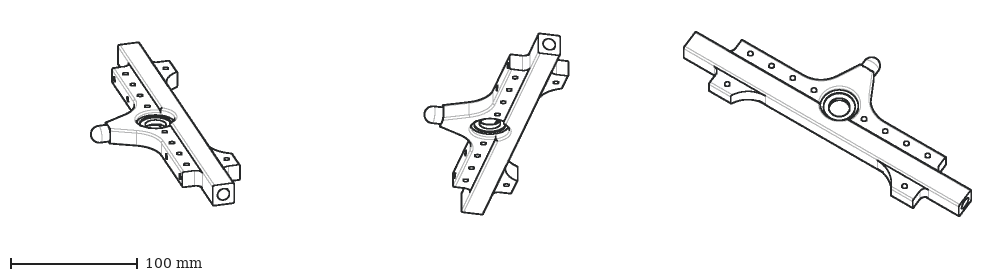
import cadquery as cq
import math

bar_length = 260.0
bar_size = 18.0
bar_edge_radius = 1.5
end_bore_radius = 5.0
end_bore_depth = 26.0

plate_thickness = 13.5
plate_half_width = 24.0
plate_half_length = 96.2
plate_edge_radius = 1.5
root_fillet = 5.0
sweep_radius = 25.0
lug_inner_x = 75.7

tip_radius = plate_thickness / 2
tip_end_y = 70.0
arm_end_y = 56.2
arm_root_half_width = 23.0

hub_y = -17.0
hub_bore_radius = 8.3
seat_radius = 12.5
seat_depth = 5.0
pocket_radius = 15.0
pocket_depth = 4.0
pocket_rim_radius = 1.5

hole_radius = 2.0
row_spacing = 33.0
row_y = row_spacing / 2
row_outer_x = 83.7
row_pitch = 20.0
row_count = 4
front_hole_xs = (53.0, 90.0)
front_hole_depth = 10.5

pick_margin = 0.3


def make_bar():
    bar = cq.Workplane("XY").box(bar_length, bar_size, bar_size)
    return bar.edges("|X").fillet(bar_edge_radius)


def make_front_plate():
    outline = [
        (-plate_half_length, 0),
        (-plate_half_length, -plate_half_width),
        (-arm_root_half_width, -plate_half_width),
        (-tip_radius, -arm_end_y),
        (tip_radius, -arm_end_y),
        (arm_root_half_width, -plate_half_width),
        (plate_half_length, -plate_half_width),
        (plate_half_length, 0),
    ]
    plate = cq.Workplane("XY").polyline(outline).close().extrude(plate_thickness / 2, both=True)

    corners = cq.selectors.BoxSelector(
        (-arm_root_half_width - pick_margin, -plate_half_width - pick_margin, -plate_thickness),
        (arm_root_half_width + pick_margin, -plate_half_width + pick_margin, plate_thickness),
    )
    plate = plate.edges("|Z").edges(corners).fillet(sweep_radius)

    rim = cq.selectors.BoxSelector(
        (-plate_half_length + pick_margin, -arm_end_y + pick_margin, -plate_thickness),
        (plate_half_length - pick_margin, -plate_half_width + pick_margin, plate_thickness),
    )
    return plate.edges("#Z").edges(rim).fillet(plate_edge_radius)


def make_back_lug():
    bar_face_y = bar_size / 2
    centre_y = bar_face_y + sweep_radius
    sweep_end_x = lug_inner_x - math.sqrt(sweep_radius**2 - (centre_y - plate_half_width) ** 2)
    mid_angle = math.asin((lug_inner_x - sweep_end_x) / sweep_radius) / 2
    sweep_mid = (
        sweep_end_x + sweep_radius * math.sin(mid_angle),
        centre_y - sweep_radius * math.cos(mid_angle),
    )
    lug = (
        cq.Workplane("XY")
        .moveTo(plate_half_length, 0)
        .lineTo(plate_half_length, plate_half_width)
        .lineTo(lug_inner_x, plate_half_width)
        .threePointArc(sweep_mid, (sweep_end_x, bar_face_y))
        .lineTo(sweep_end_x, 0)
        .close()
        .extrude(plate_thickness / 2, both=True)
    )
    return lug.faces(">Y").edges("|X").fillet(plate_edge_radius)


def make_root_fillet():
    """Concave corner between the bar side and a plate end, at +X +Y."""
    x0 = plate_half_length
    y0 = bar_size / 2
    mid = root_fillet * (1 - math.sqrt(0.5))
    return (
        cq.Workplane("XY")
        .moveTo(x0, y0)
        .lineTo(x0 + root_fillet, y0)
        .threePointArc((x0 + mid, y0 + mid), (x0, y0 + root_fillet))
        .close()
        .extrude(plate_thickness / 2, both=True)
    )


def make_tip():
    dome_start_y = tip_end_y - tip_radius
    return (
        cq.Workplane("XY")
        .moveTo(0, -arm_end_y)
        .lineTo(-tip_radius, -arm_end_y)
        .lineTo(-tip_radius, -dome_start_y)
        .radiusArc((0, -tip_end_y), -tip_radius)
        .close()
        .revolve(360, (0, 0, 0), (0, 1, 0))
    )


def make_rim_cut(level):
    """Ring that rounds over the pocket rim on a face at height level."""
    inner = pocket_radius - pocket_rim_radius
    outer = pocket_radius + pocket_rim_radius
    return (
        cq.Workplane("XZ", origin=(0, hub_y, 0))
        .moveTo(inner, level - pocket_rim_radius)
        .lineTo(pocket_radius, level - pocket_rim_radius)
        .radiusArc((outer, level), pocket_rim_radius)
        .lineTo(inner, level)
        .close()
        .revolve(360, (0, 0, 0), (0, 1, 0))
    )


def make_hub_cut():
    plate_top = plate_thickness / 2
    bar_top = bar_size / 2

    def disc(radius, bottom, top):
        base = cq.Workplane("XY", origin=(0, hub_y, bottom))
        return base.circle(radius).extrude(top - bottom)

    bar_zone = cq.Workplane("XY").box(bar_length, bar_size, 2 * bar_size)
    bar_rim = make_rim_cut(bar_top).intersect(bar_zone)
    plate_rim = make_rim_cut(plate_top).cut(bar_zone)

    half = disc(hub_bore_radius, 0, bar_top)
    half = half.union(disc(seat_radius, plate_top - seat_depth, bar_top))
    half = half.union(disc(pocket_radius, plate_top - pocket_depth, bar_top))
    half = half.union(bar_rim).union(plate_rim)
    return half.union(half.mirror("XY"))


def make_holes():
    xs = [row_outer_x - i * row_pitch for i in range(row_count)]
    points = [(s * x, -row_y) for x in xs for s in (-1, 1)]
    points += [(s * row_outer_x, row_y) for s in (-1, 1)]
    vertical = cq.Workplane("XY").pushPoints(points).circle(hole_radius).extrude(plate_thickness, both=True)
    front = (
        cq.Workplane("XZ", origin=(0, -plate_half_width + front_hole_depth, 0))
        .pushPoints([(s * x, 0) for x in front_hole_xs for s in (-1, 1)])
        .circle(hole_radius)
        .extrude(front_hole_depth)
    )
    bore = (
        cq.Workplane("YZ", origin=(bar_length / 2 - end_bore_depth, 0, 0))
        .circle(end_bore_radius)
        .extrude(end_bore_depth)
    )
    return vertical.union(front).union(bore).union(bore.mirror("YZ"))


lug = make_back_lug()
root = make_root_fillet()
roots = root.union(root.mirror("XZ"))
body = make_bar().union(make_front_plate())
for piece in (lug, roots):
    body = body.union(piece).union(piece.mirror("YZ"))
body = body.union(make_tip())
result = body.cut(make_hub_cut()).cut(make_holes())